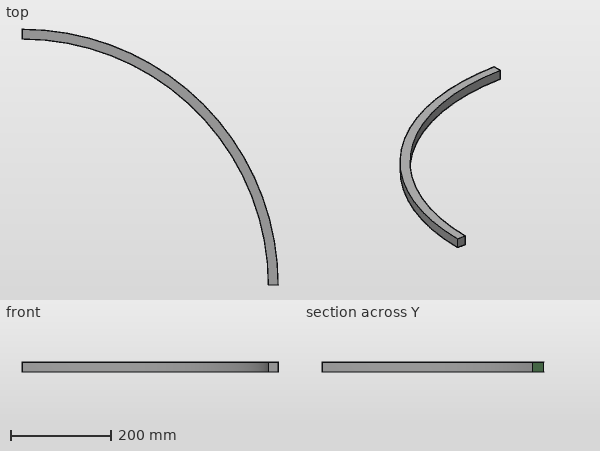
import cadquery as cq
import math

outer_radius = 510.0
bar_size = 20.0
inner_radius = outer_radius - bar_size

mid_cos = math.cos(math.radians(45))
mid_sin = math.sin(math.radians(45))

result = (
    cq.Workplane("XY")
    .moveTo(inner_radius, 0)
    .lineTo(outer_radius, 0)
    .threePointArc((outer_radius * mid_cos, outer_radius * mid_sin), (0, outer_radius))
    .lineTo(0, inner_radius)
    .threePointArc((inner_radius * mid_cos, inner_radius * mid_sin), (inner_radius, 0))
    .close()
    .extrude(bar_size)
)